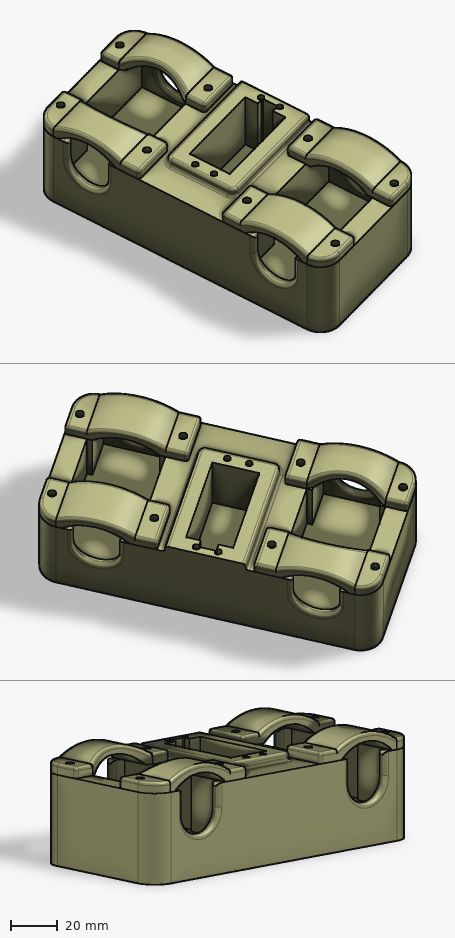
import cadquery as cq
base_length = 153.0
base_width = 70.5
base_height = 40.0
corner_radius = 10.0

bay_offset = 49.0
bay_length = 35.0
bay_front_length = 30.0
end_wall = 4.5
bay_floor = 15.0
shaft_height = 29.5
slot_radius = 10.5
slot_round = 2.0

rim_length = 36.0
rim_top = 44.0
rim_front = -20.7
rim_corner_radius = 3.0
rim_top_round = 1.5
rim_foot_round = 1.5

servo_length = 21.0
servo_width = 41.5
servo_center_y = 7.5
notch_length = 7.9
notch_depth = 3.5
servo_screw_diameter = 2.9
servo_screw_spacing_x = 9.8
servo_screw_spacing_y = 49.0
servo_screw_depth = 30.0

cap_length = 55.0
cap_width = 21.75
cap_pad_height = 5.0
cap_arch_height = 9.95
arch_half_length = 17.6
cap_bore_half_length = 14.9
cap_bore_height = 6.1
cap_round = 1.5
relief_depth = 5.2

cap_hole_diameter = 3.5
base_hole_diameter = 2.9
base_hole_depth = 12.0
outer_screw_x = 72.0
outer_screw_y = 22.0
inner_screw_x = 26.2
inner_screw_y = 22.75

half_length = base_length / 2
half_width = base_width / 2
cap_inner_y = half_width - cap_width
cap_top = base_height + cap_pad_height
sides = (-1, 1)
pad_mid_z = base_height + cap_pad_height / 2
cap_apex = base_height + cap_arch_height
slack = 0.1


def radius_from_rise(half_chord, rise):
    """Radius of the arc with the given half chord and rise."""
    return (half_chord**2 + rise**2) / (2 * rise)


def box(x_size, y_size, z_low, z_high, x_mid=0.0, y_mid=0.0):
    """Box centred at (x_mid, y_mid) between two heights."""
    sketch = cq.Workplane("XY", origin=(x_mid, y_mid, z_low)).rect(x_size, y_size)
    return sketch.extrude(z_high - z_low)


def cap_screw_holes(diameter, z_low, z_high):
    """Two screw holes for every cap, between two heights."""
    points = []
    for x_side in sides:
        for y_side in sides:
            points.append((x_side * outer_screw_x, y_side * outer_screw_y))
            points.append((x_side * inner_screw_x, y_side * inner_screw_y))
    layout = cq.Workplane("XY", origin=(0, 0, z_low)).pushPoints(points)
    return layout.circle(diameter / 2).extrude(z_high - z_low)


def shaft_slot(bay_x, y_side):
    """U-shaped opening through one end wall, rounded inside, outside and at its mouth."""
    wall_y = y_side * (half_width - end_wall / 2)
    wall_length = 2 * (slot_radius + 2 * slot_round)
    wall = box(wall_length, end_wall, 0, base_height, bay_x, wall_y)
    plane = cq.Workplane("XZ", origin=(bay_x, wall_y + end_wall / 2, 0))
    opening = (
        plane.moveTo(-slot_radius, base_height)
        .lineTo(-slot_radius, shaft_height)
        .threePointArc((0, shaft_height - slot_radius), (slot_radius, shaft_height))
        .lineTo(slot_radius, base_height)
        .close()
        .extrude(end_wall)
    )
    mouth = (
        plane.moveTo(-slot_radius - slot_round, base_height)
        .radiusArc((-slot_radius, base_height - slot_round), slot_round)
        .lineTo(slot_radius, base_height - slot_round)
        .radiusArc((slot_radius + slot_round, base_height), slot_round)
        .close()
        .extrude(end_wall)
    )
    reach = slot_radius + slack
    slot_edges = cq.selectors.BoxSelector(
        (bay_x - reach, wall_y - end_wall, shaft_height - reach),
        (bay_x + reach, wall_y + end_wall, base_height - slack),
    )
    slotted = wall.cut(opening).edges(slot_edges).edges("not |Y").fillet(slot_round)
    return wall.cut(slotted.cut(mouth))


def make_bay(bay_x):
    """Pocket of one bay, narrower under the front cap than behind it."""
    inner_y = half_width - end_wall
    front_y = -cap_inner_y
    main = box(
        bay_length, inner_y - front_y, bay_floor, base_height, bay_x, (inner_y + front_y) / 2
    )
    front = box(
        bay_front_length, inner_y + front_y, bay_floor, base_height, bay_x, (front_y - inner_y) / 2
    )
    return main.union(front)


def make_rim():
    """Raised rim block, flush with the back face and rounded at its front corners."""
    rim_width = half_width - rim_front
    y_mid = (half_width + rim_front) / 2
    rim = box(rim_length, rim_width, base_height, rim_top, 0, y_mid)
    return rim.edges("|Z and <Y").fillet(rim_corner_radius)


def make_servo_pocket():
    """Servo pocket with its cable notch and four screw holes, as the material to remove."""
    pocket = box(servo_length, servo_width, bay_floor, rim_top, 0, servo_center_y)
    notch_y = servo_center_y + (servo_width + notch_depth) / 2
    notch = box(notch_length, notch_depth, bay_floor, rim_top, 0, notch_y)
    screws = (
        cq.Workplane("XY", origin=(0, servo_center_y, rim_top))
        .rarray(servo_screw_spacing_x, servo_screw_spacing_y, 2, 2)
        .circle(servo_screw_diameter / 2)
        .extrude(-servo_screw_depth)
    )
    return pocket.union(notch).union(screws)


def make_base():
    """Block with its rim, bays, shaft slots, servo pocket and screw holes."""
    block = box(base_length, base_width, 0, base_height).edges("|Z").fillet(corner_radius)
    base = block.union(make_rim())
    foot = cq.selectors.BoxSelector(
        (-rim_length / 2 - slack, rim_front - slack, base_height - slack),
        (rim_length / 2 + slack, half_width - slack, base_height + slack),
    )
    base = base.edges(foot).fillet(rim_foot_round)
    base = base.faces(">Z").edges("not >Y").fillet(rim_top_round)

    for side in sides:
        bay_x = side * bay_offset
        base = base.cut(make_bay(bay_x))
        for y_side in sides:
            base = base.cut(shaft_slot(bay_x, y_side))

    base = base.cut(make_servo_pocket())
    return base.cut(cap_screw_holes(base_hole_diameter, base_height - base_hole_depth, base_height))


def make_pads(x_side, y_side):
    """Two flat screw pads of a cap, rounded along the top and at the free corners."""
    bay_x = x_side * bay_offset
    cap_x = x_side * (half_length - cap_length / 2)
    cap_y = y_side * (half_width - cap_width / 2)
    pads = box(cap_length, cap_width, base_height, cap_top, cap_x, cap_y)
    outer_x = x_side * half_length
    inner_x = x_side * (half_length - cap_length)
    outer_y = y_side * half_width
    inner_y = y_side * cap_inner_y
    corners = [
        (outer_x, outer_y, corner_radius),
        (outer_x, inner_y, cap_round),
        (inner_x, inner_y, cap_round),
        (inner_x, outer_y, cap_round),
    ]
    for x, y, radius in corners:
        corner_edge = cq.selectors.NearestToPointSelector((x, y, pad_mid_z))
        pads = pads.edges("|Z").edges(corner_edge).fillet(radius)
    pads = pads.faces(">Z").edges().fillet(cap_round)
    return pads.cut(box(2 * arch_half_length, base_width, base_height, cap_top, bay_x))


def make_arch(x_side, y_side):
    """Arched bridge of a cap; the caps on the -X side are hollowed towards the bay."""
    bay_x = x_side * bay_offset
    cap_y = y_side * (half_width - cap_width / 2)
    arch = (
        cq.Workplane("XZ", origin=(bay_x, cap_y + cap_width / 2, 0))
        .moveTo(-arch_half_length, base_height)
        .lineTo(-arch_half_length, cap_top)
        .threePointArc((0, cap_apex), (arch_half_length, cap_top))
        .lineTo(arch_half_length, base_height)
        .close()
        .extrude(cap_width)
    )
    if x_side < 0:
        relief_radius = radius_from_rise(arch_half_length, relief_depth)
        relief_y = y_side * (cap_inner_y + relief_depth - relief_radius)
        relief = (
            cq.Workplane("XY", origin=(bay_x, relief_y, base_height))
            .circle(relief_radius)
            .extrude(cap_arch_height)
        )
        arch = arch.cut(relief)
    crown = cq.selectors.BoxSelector(
        (bay_x - slack, -half_width - slack, cap_top + slack),
        (bay_x + slack, half_width + slack, cap_apex + slack),
    )
    return arch.edges(crown).fillet(cap_round)


def make_cap(x_side, y_side):
    """Bearing cap: pads and arch, bored for the shaft and drilled for its screws."""
    bore_radius = radius_from_rise(cap_bore_half_length, cap_bore_height)
    bore_z = base_height + cap_bore_height - bore_radius
    bore = (
        cq.Workplane("XZ", origin=(x_side * bay_offset, half_width, bore_z))
        .circle(bore_radius)
        .extrude(base_width)
    )
    cap = make_pads(x_side, y_side).union(make_arch(x_side, y_side))
    return cap.cut(bore).cut(cap_screw_holes(cap_hole_diameter, base_height, cap_top))


base = make_base()
caps = [make_cap(x_side, y_side) for x_side in sides for y_side in sides]
result = cq.Compound.makeCompound([base.val()] + [cap.val() for cap in caps])